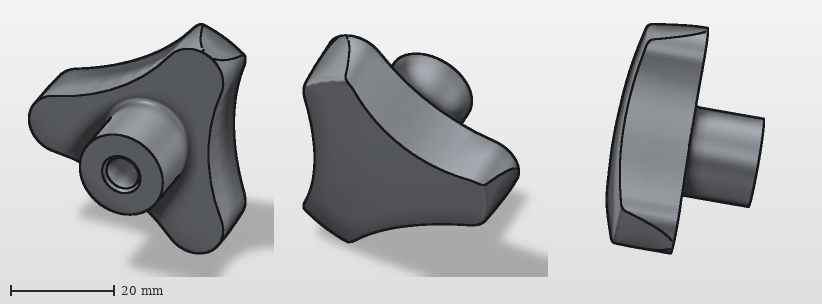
import cadquery as cq
import math


LOBE_TIP_RADIUS = 25.0
LOBE_RADIUS = 6.2
WAIST_RADIUS = 12.5
LOBE_COUNT = 3

HEAD_HEIGHT = 13.9
RIM_HEIGHT = 11.35
RIM_RADIUS = 23.0
RIM_FILLET = 1.5

HUB_RADIUS = 8.68
HUB_LENGTH = 14.0
HUB_FILLET = 1.4
HOLE_RADIUS = 3.33
HOLE_DEPTH = 15.0
HOLE_MOUTH_RADIUS = 4.0
DRILL_POINT_ANGLE = 118.0

LOBE_DISTANCE = LOBE_TIP_RADIUS - LOBE_RADIUS
LOBE_STEP = 2 * math.pi / LOBE_COUNT


def polar(radius, angle):
    return (radius * math.cos(angle), radius * math.sin(angle))


def lobed_prism():
    """Lobes joined by tangent hollow arcs, extruded along +Y from the underside."""
    half_step = LOBE_STEP / 2
    lobe_x, lobe_z = polar(LOBE_DISTANCE, half_step)
    offset = WAIST_RADIUS - lobe_x
    hollow_radius = (offset**2 + lobe_z**2 - LOBE_RADIUS**2) / (2 * (LOBE_RADIUS - offset))
    hollow_x = WAIST_RADIUS + hollow_radius
    share = LOBE_RADIUS / (LOBE_RADIUS + hollow_radius)
    tangent_x = lobe_x + share * (hollow_x - lobe_x)
    tangent_z = lobe_z * (1 - share)
    tangent_radius = math.hypot(tangent_x, tangent_z)
    tangent_angle = math.atan2(tangent_z, tangent_x)

    outline = cq.Workplane("XZ").moveTo(*polar(tangent_radius, -tangent_angle))
    for i in range(LOBE_COUNT):
        middle = i * LOBE_STEP
        outline = outline.threePointArc(
            polar(WAIST_RADIUS, middle),
            polar(tangent_radius, middle + tangent_angle),
        )
        outline = outline.threePointArc(
            polar(LOBE_TIP_RADIUS, middle + half_step),
            polar(tangent_radius, middle + LOBE_STEP - tangent_angle),
        )
    return outline.close().extrude(-HEAD_HEIGHT)


def domed_blank():
    """Turned blank with a spherical top and tapered side."""
    rise = HEAD_HEIGHT - RIM_HEIGHT
    dome_radius = (RIM_RADIUS**2 + rise**2) / (2 * rise)
    half_angle = math.asin(RIM_RADIUS / dome_radius) / 2
    dome_middle = (
        dome_radius * math.sin(half_angle),
        HEAD_HEIGHT - dome_radius * (1 - math.cos(half_angle)),
    )
    blank = (
        cq.Workplane("XY")
        .lineTo(LOBE_TIP_RADIUS, 0)
        .lineTo(RIM_RADIUS, RIM_HEIGHT)
        .threePointArc(dome_middle, (0, HEAD_HEIGHT))
        .close()
        .revolve(360, (0, 0), (0, 1))
    )
    return blank.faces("%CONE").edges(">Y").fillet(RIM_FILLET)


def hub():
    """Round hub flaring into the head through a concave fillet."""
    return (
        cq.Workplane("XY")
        .lineTo(HUB_RADIUS + HUB_FILLET, 0)
        .radiusArc((HUB_RADIUS, -HUB_FILLET), -HUB_FILLET)
        .lineTo(HUB_RADIUS, -HUB_LENGTH)
        .lineTo(0, -HUB_LENGTH)
        .close()
        .revolve(360, (0, 0), (0, 1))
    )


def blind_hole():
    """Drilled hole with a 45 degree mouth and a conical bottom."""
    mouth_depth = HOLE_MOUTH_RADIUS - HOLE_RADIUS
    point_depth = HOLE_RADIUS / math.tan(math.radians(DRILL_POINT_ANGLE / 2))
    bottom = HOLE_DEPTH - HUB_LENGTH
    return (
        cq.Workplane("XY")
        .moveTo(0, -HUB_LENGTH)
        .lineTo(HOLE_MOUTH_RADIUS, -HUB_LENGTH)
        .lineTo(HOLE_RADIUS, mouth_depth - HUB_LENGTH)
        .lineTo(HOLE_RADIUS, bottom)
        .lineTo(0, bottom + point_depth)
        .close()
        .revolve(360, (0, 0), (0, 1))
    )


head = lobed_prism().intersect(domed_blank())
result = head.union(hub()).cut(blind_hole())